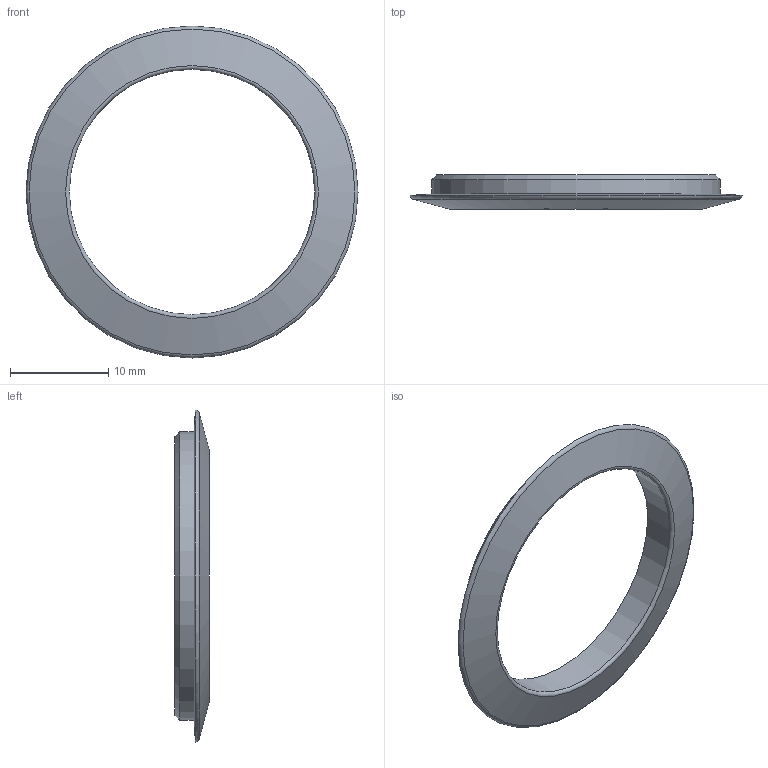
import cadquery as cq
import math

total_depth = 3.5
flange_radius = 33.83 / 2
neck_radius = 14.7
neck_chamfer = 0.5
bore_radius = 12.5
bore_lip_fillet = 0.3
rim_fillet = 0.42
cone_angle = math.radians(15)
flange_back_angle = math.radians(3)

inward = (-1, 0)
outward = (1, 0)
cone_normal = (math.sin(cone_angle), -math.cos(cone_angle))


def point_on_fillet(center, radius, direction):
    """Point of a profile fillet in the given (radial, axial) direction."""
    return (center[0] + radius * direction[0], center[1] + radius * direction[1])


def unit_bisector(first, second):
    """Unit direction halfway between two unit directions."""
    total = (first[0] + second[0], first[1] + second[1])
    length = math.hypot(*total)
    return (total[0] / length, total[1] / length)


lip_center = (bore_radius + bore_lip_fillet, bore_lip_fillet)
lip_start = point_on_fillet(lip_center, bore_lip_fillet, inward)
lip_middle = point_on_fillet(lip_center, bore_lip_fillet, unit_bisector(inward, cone_normal))
lip_end = point_on_fillet(lip_center, bore_lip_fillet, cone_normal)

rim_center_r = flange_radius - rim_fillet
rim_start_r = rim_center_r + rim_fillet * cone_normal[0]
rim_start_y = lip_end[1] + (rim_start_r - lip_end[0]) * math.tan(cone_angle)
rim_center = (rim_center_r, rim_start_y - rim_fillet * cone_normal[1])
rim_start = point_on_fillet(rim_center, rim_fillet, cone_normal)
rim_middle = point_on_fillet(rim_center, rim_fillet, unit_bisector(cone_normal, outward))
rim_end = point_on_fillet(rim_center, rim_fillet, outward)

neck_foot_y = rim_end[1] + (flange_radius - neck_radius) * math.tan(flange_back_angle)


def ring():
    """Half section in (radius, Y), revolved about the Y axis."""
    profile = (
        cq.Workplane("XY")
        .moveTo(bore_radius, total_depth)
        .lineTo(*lip_start)
        .threePointArc(lip_middle, lip_end)
        .lineTo(*rim_start)
        .threePointArc(rim_middle, rim_end)
        .lineTo(neck_radius, neck_foot_y)
        .lineTo(neck_radius, total_depth - neck_chamfer)
        .lineTo(neck_radius - neck_chamfer, total_depth)
        .close()
    )
    return profile.revolve(360, (0, 0, 0), (0, 1, 0))


result = ring()